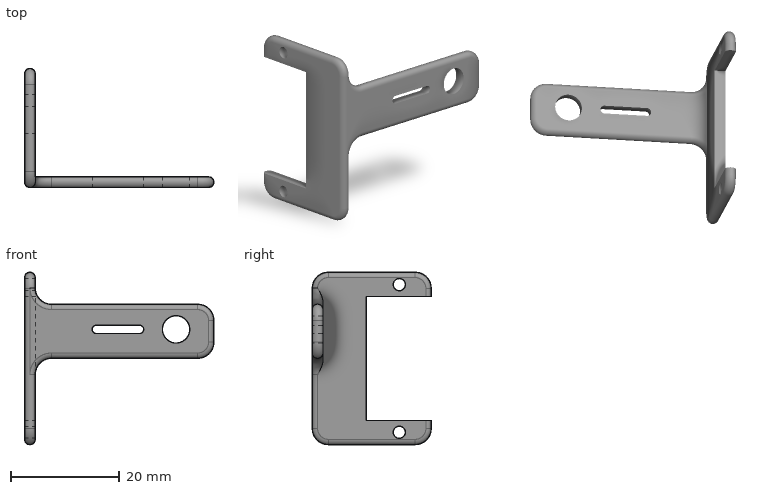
import cadquery as cq

length = 35.0
depth = 22.0
height = 31.9
thickness = 2.0
rim_radius = thickness / 2
corner_radius = 3.0

arm_width = 10.0
arm_center_z = 20.95

window_start_y = 10.0
prong_width = 4.5

screw_diameter = 2.2
screw_y = 16.1
screw_inset = 2.3

opening_z = 21.3
arm_hole_diameter = 5.0
arm_hole_x = 28.0
slot_center_x = 17.25
slot_length = 9.5
slot_width = 1.5


def rounded_sheet(rim_path, rim_profile, core_outline):
    """Flat core with a half-round rim swept along its outline at mid thickness."""
    rim = rim_profile.sweep(rim_path)
    core = core_outline.extrude(rim_radius, both=True)
    return core.union(rim)


def half_disc(workplane):
    """Half disc that bulges along the local x axis of the workplane."""
    return (
        workplane
        .moveTo(0, -rim_radius)
        .threePointArc((rim_radius, 0), (0, rim_radius))
        .close()
    )


def plate_path():
    """Closed rounded rectangle at mid thickness, inset by the rim radius."""
    near, far = rim_radius, depth - rim_radius
    bottom, top = rim_radius, height - rim_radius
    bend = corner_radius - rim_radius
    return (
        cq.Workplane("YZ", origin=(rim_radius, 0, 0))
        .moveTo(depth / 2, top)
        .lineTo(far - bend, top)
        .radiusArc((far, top - bend), bend)
        .lineTo(far, bottom + bend)
        .radiusArc((far - bend, bottom), bend)
        .lineTo(near + bend, bottom)
        .radiusArc((near, bottom + bend), bend)
        .lineTo(near, top - bend)
        .radiusArc((near + bend, top), bend)
        .close()
    )


def make_plate():
    """Upright plate in the YZ plane with rounded corners and rims."""
    profile_plane = cq.Plane(
        origin=(rim_radius, depth / 2, height - rim_radius), xDir=(0, 0, 1), normal=(0, 1, 0)
    )
    profile = half_disc(cq.Workplane(profile_plane))
    return rounded_sheet(plate_path(), profile, plate_path())


def arm_path():
    """Open arm outline at mid thickness, inset by the rim radius."""
    bottom = arm_center_z - arm_width / 2 + rim_radius
    top = arm_center_z + arm_width / 2 - rim_radius
    tip = length - rim_radius
    bend = corner_radius - rim_radius
    flare = corner_radius + rim_radius
    return (
        cq.Workplane("XZ", origin=(0, rim_radius, 0))
        .moveTo(rim_radius, top + flare)
        .radiusArc((rim_radius + flare, top), -flare)
        .lineTo(tip - bend, top)
        .radiusArc((tip, top - bend), bend)
        .lineTo(tip, bottom + bend)
        .radiusArc((tip - bend, bottom), bend)
        .lineTo(rim_radius + flare, bottom)
        .radiusArc((rim_radius, bottom - flare), -flare)
    )


def make_arm():
    """Arm in the XZ plane that flares into the rim of the plate."""
    root_top = arm_center_z + arm_width / 2 + corner_radius
    profile = half_disc(cq.Workplane("XY", origin=(rim_radius, rim_radius, root_top)))
    return rounded_sheet(arm_path().wire(), profile, arm_path().close())


def make_window():
    """Rectangular opening through the plate, open towards +Y."""
    return (
        cq.Workplane("XY")
        .box(thickness, depth - window_start_y, height - 2 * prong_width, centered=False)
        .translate((0, window_start_y, prong_width))
    )


def make_screw_holes():
    """One hole through each prong."""
    return (
        cq.Workplane("YZ")
        .pushPoints([(screw_y, screw_inset), (screw_y, height - screw_inset)])
        .circle(screw_diameter / 2)
        .extrude(thickness)
    )


def make_arm_hole():
    """Large round hole near the arm tip."""
    return (
        cq.Workplane("XZ")
        .center(arm_hole_x, opening_z)
        .circle(arm_hole_diameter / 2)
        .extrude(-thickness)
    )


def make_slot():
    """Narrow round-ended slot along the arm."""
    return (
        cq.Workplane("XZ")
        .center(slot_center_x, opening_z)
        .slot2D(slot_length, slot_width)
        .extrude(-thickness)
    )


plate = make_plate().cut(make_window()).cut(make_screw_holes())
arm = make_arm().cut(make_arm_hole()).cut(make_slot())
result = plate.union(arm)